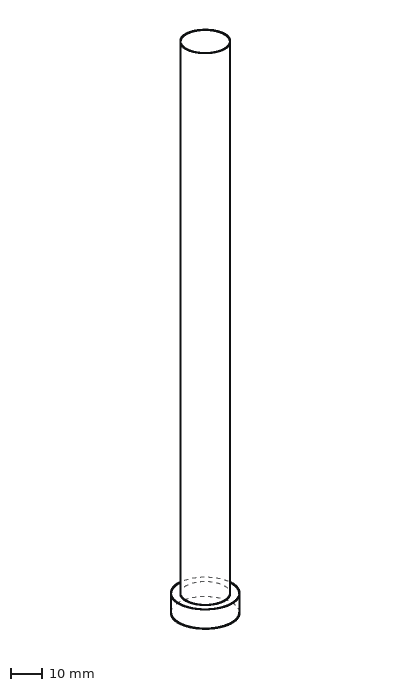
import cadquery as cq

total_length = 207.0
shaft_diameter = 16.0
head_diameter = 22.0
head_height = 7.0

head = cq.Workplane("XY").circle(head_diameter / 2).extrude(head_height)
shaft = cq.Workplane("XY").circle(shaft_diameter / 2).extrude(total_length)

result = head.union(shaft)